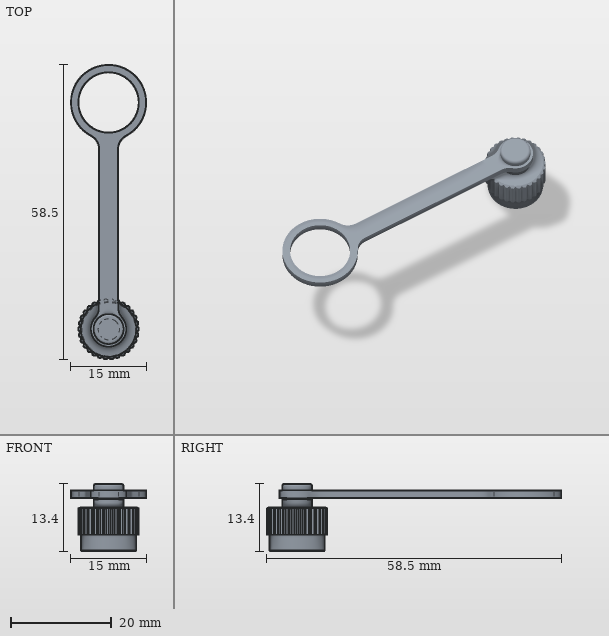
import cadquery as cq
import math

skirt_radius = 5.5
skirt_height = 3.35
skirt_chamfer = 0.2
grip_top = 8.8
grip_tip_radius = 6.0
grip_root_radius = 5.7
tooth_count = 30
tip_share = 0.3
grip_bevel_width = 0.5
grip_bevel_height = 0.3

post_radius = 3.0
groove_radius = 2.1
groove_bottom = 10.3
total_height = 13.4
button_rounding = 0.5

strap_bottom = 10.6
strap_thickness = 1.5
strap_top = strap_bottom + strap_thickness
eye_radius = 3.5
bar_width = 3.8
ring_outer_radius = 7.5
ring_inner_radius = 5.95
ring_center_y = 45.0
blend_radius = 3.0


def cylinder(radius, bottom, top):
    return cq.Workplane("XY").workplane(offset=bottom).circle(radius).extrude(top - bottom)


def polar(radius, angle):
    return (radius * math.cos(angle), radius * math.sin(angle))


def make_grip():
    """Toothed collar with its top edge bevelled by a cone."""
    pitch = 2 * math.pi / tooth_count
    half_tip = pitch * tip_share / 2
    outline = []
    for tooth in range(tooth_count):
        angle = tooth * pitch
        outline.append(polar(grip_tip_radius, angle - half_tip))
        outline.append(polar(grip_tip_radius, angle + half_tip))
        outline.append(polar(grip_root_radius, angle + pitch / 2))
    height = grip_top - skirt_height
    teeth = cq.Workplane("XY").workplane(offset=skirt_height).polyline(outline).close().extrude(height)
    envelope = (
        cq.Workplane("XZ")
        .moveTo(0, skirt_height)
        .lineTo(grip_tip_radius, skirt_height)
        .lineTo(grip_tip_radius, grip_top - grip_bevel_height)
        .lineTo(grip_tip_radius - grip_bevel_width, grip_top)
        .lineTo(0, grip_top)
        .close()
        .revolve(360, (0, 0, 0), (0, 1, 0))
    )
    return teeth.intersect(envelope)


def make_cap():
    skirt = cylinder(skirt_radius, 0, skirt_height).faces("<Z").chamfer(skirt_chamfer)
    lower_post = cylinder(post_radius, grip_top, groove_bottom)
    groove = cylinder(groove_radius, groove_bottom, strap_bottom)
    button = cylinder(post_radius, strap_bottom, total_height).faces(">Z").edges().fillet(button_rounding)
    return skirt.union(make_grip()).union(lower_post).union(groove).union(button)


def make_strap():
    bar = (
        cq.Workplane("XY")
        .workplane(offset=strap_bottom)
        .center(0, ring_center_y / 2)
        .rect(bar_width, ring_center_y)
        .extrude(strap_thickness)
    )
    eye = cylinder(eye_radius, strap_bottom, strap_top)
    ring_disc = cylinder(ring_outer_radius, strap_bottom, strap_top).translate((0, ring_center_y, 0))
    ring_hole = cylinder(ring_inner_radius, strap_bottom, strap_top).translate((0, ring_center_y, 0))
    corner_reach = (bar_width / 2 + eye_radius) / 2
    bar_corners = cq.selectors.BoxSelector(
        (-corner_reach, 0, strap_bottom),
        (corner_reach, ring_center_y, strap_top),
    )
    blank = eye.union(bar).union(ring_disc)
    blended = blank.edges("|Z").edges(bar_corners).fillet(blend_radius)
    return blended.cut(ring_hole)


result = make_cap().union(make_strap())